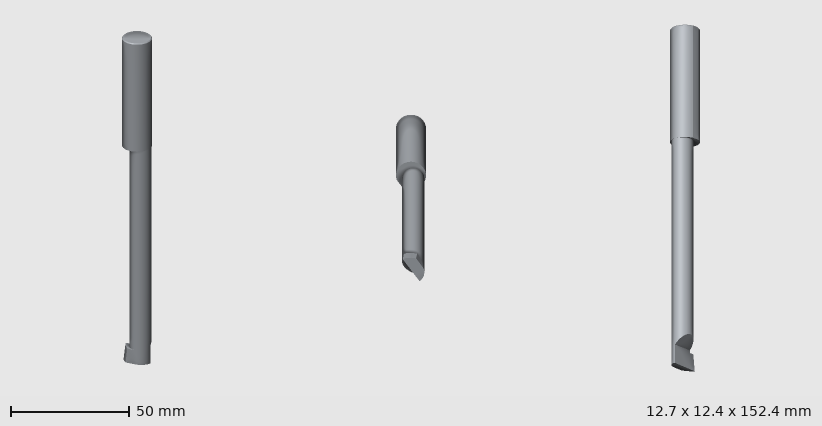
import cadquery as cq

total_length = 152.39

shank_diameter = 12.7
shank_radius = shank_diameter / 2
shank_length = 50.8
shank_chamfer = 0.4
flat_depth = 0.25

neck_diameter = 9.4
neck_radius = neck_diameter / 2
neck_center_x = shank_radius - neck_radius
neck_top = total_length - shank_length

head_height = 7.4
tip_x = -6.15
side_relief = 0.9
flank_end = (-4.25, -3.4)
flank_bulge = 0.3
heel_x = -3.1
front_relief_angle = 7
end_relief_angle = 1.5

relief_floor = 8.6


def make_shank():
    """Round shank with a chamfered top edge and a full-length flat on the +Y side."""
    shank = cq.Workplane("XY").workplane(offset=neck_top).circle(shank_radius).extrude(shank_length)
    shank = shank.faces(">Z").chamfer(shank_chamfer)
    flat = (
        cq.Workplane("XY")
        .box(shank_diameter, shank_diameter, shank_length, centered=(True, False, False))
        .translate((0, shank_radius - flat_depth, neck_top))
    )
    return shank.cut(flat)


def make_neck():
    """Round neck whose +Y half is removed at the bottom, with a 45 degree run-out."""
    neck = cq.Workplane("XY").center(neck_center_x, 0).circle(neck_radius).extrude(neck_top)
    relief = (
        cq.Workplane("YZ")
        .moveTo(0, 0)
        .lineTo(0, relief_floor)
        .lineTo(neck_diameter, relief_floor + neck_diameter)
        .lineTo(neck_diameter, 0)
        .close()
        .extrude(shank_diameter, both=True)
    )
    return neck.cut(relief)


def head_section(height):
    """Closed XY outline of the head at the given height; the flank leans out toward the tip."""
    lean = side_relief * height / head_height
    flank_x, flank_y = flank_end
    return (
        cq.Workplane("XY")
        .workplane(offset=height)
        .moveTo(neck_center_x, 0)
        .lineTo(tip_x + lean, 0)
        .sagittaArc((flank_x + lean, flank_y), -flank_bulge)
        .lineTo(heel_x + lean, -neck_radius)
        .lineTo(neck_center_x, -neck_radius)
        .close()
    )


def make_head():
    """Head lofted between its outlines at the end face level and at its top."""
    lower = head_section(0).wires().val()
    upper = head_section(head_height).wires().val()
    return cq.Workplane(obj=cq.Solid.makeLoft([lower, upper], True))


def end_cutter():
    """Block below the end face, which rises from the tip toward -Y and +X."""
    block_width = 4 * shank_diameter
    block = cq.Workplane("XY").box(block_width, block_width, head_height, centered=(True, True, False))
    block = block.translate((0, 0, -head_height))
    block = block.rotate((0, 0, 0), (1, 0, 0), -front_relief_angle)
    block = block.rotate((0, 0, 0), (0, 1, 0), -end_relief_angle)
    return block.translate((tip_x, 0, 0))


result = make_shank().union(make_neck()).union(make_head()).cut(end_cutter())